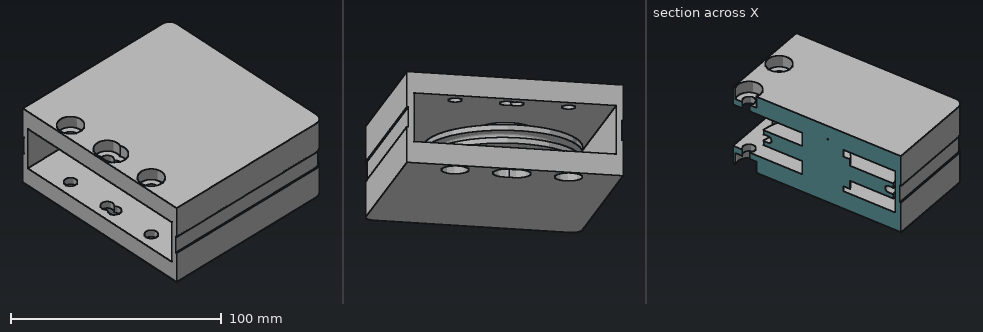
import cadquery as cq

width = 105.0
depth = 97.0
height = 45.0
corner_radius = 5.0
plate_thickness = 10.5
wall_thickness = 3.5
cavity_height = height - 2 * plate_thickness

band_height = 9.8
band_depth = 0.6

hole_diameter = 6.5
counterbore_diameter = 13.1
counterbore_depth = 6.5
hole_setback = 7.5
outer_hole_offset = 27.5
paired_hole_spacing = 5.0

post_diameter = 27.3
post_x = 6.5
post_y = 51.9
pulley_x = 5.9
pulley_y = 55.0
pulley_diameter = 76.0
pulley_thickness = 9.1
pulley_hub_diameter = 27.8
pulley_hub_height = 17.7
pulley_hub_z = -0.5
groove_width = 3.6
groove_depth = 4.5


def rounded_block(inset, block_height):
    """Block with rounded back corners, inset from the sides and back."""
    block = cq.Workplane("XY").box(
        width - 2 * inset, depth - inset, block_height, centered=(True, False, True)
    )
    return block.edges("|Z and >Y").fillet(corner_radius - inset)


def disc(x, y, diameter, thickness):
    """Upright cylinder centred on the middle plane of the housing."""
    return cq.Workplane("XY").center(x, y).circle(diameter / 2).extrude(thickness / 2, both=True)


def make_housing():
    outer = rounded_block(0, height)
    core = rounded_block(band_depth, height)
    band_slab = cq.Workplane("XY").box(2 * width, 3 * depth, band_height)
    outer = outer.cut(band_slab.cut(core))
    cavity = cq.Workplane("XY").box(
        width - 2 * wall_thickness,
        depth - wall_thickness,
        cavity_height,
        centered=(True, False, True),
    )
    return outer.cut(cavity)


def make_pulley():
    rim_radius = pulley_diameter / 2
    groove_radius = groove_width / 2
    round_start = rim_radius - groove_depth + groove_radius
    groove = (
        cq.Workplane("XZ")
        .moveTo(rim_radius, -groove_radius)
        .lineTo(round_start, -groove_radius)
        .threePointArc((rim_radius - groove_depth, 0), (round_start, groove_radius))
        .lineTo(rim_radius, groove_radius)
        .close()
        .revolve(360, (0, 0, 0), (0, 1, 0))
        .translate((pulley_x, pulley_y, 0))
    )
    pulley = disc(pulley_x, pulley_y, pulley_diameter, pulley_thickness).cut(groove)
    hub = disc(pulley_x, pulley_y, pulley_hub_diameter, pulley_hub_height)
    return pulley.union(hub.translate((0, 0, pulley_hub_z)))


def drill_screw_holes(body):
    """Through holes counterbored from both faces; the two middle ones overlap."""
    pair_offset = paired_hole_spacing / 2
    for x in (-outer_hole_offset, -pair_offset, pair_offset, outer_hole_offset):
        body = body.cut(disc(x, hole_setback, hole_diameter, height))
        counterbore = disc(x, hole_setback, counterbore_diameter, 2 * counterbore_depth)
        for face_z in (-height / 2, height / 2):
            body = body.cut(counterbore.translate((0, 0, face_z)))
    return body


post = disc(post_x, post_y, post_diameter, cavity_height)
housing = drill_screw_holes(make_housing())
result = housing.union(post).union(make_pulley())